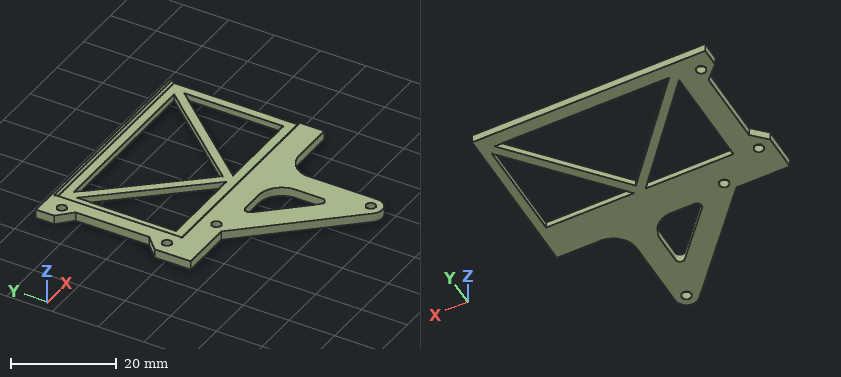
import cadquery as cq
import math

plate_length = 50.0
plate_width = 33.9
thickness = 2.0
hole_diameter = 2.0

notch_depth = 3.0
notch_mouth_bottom = 7.9
notch_mouth_top = 29.9
notch_end_height = 2.95

recess_left = 6.0
recess_bottom = 5.35
recess_top = 33.35
recess_depth = 0.5
recess_wall_run = 0.45

frame_margin = 2.0
opening_left = recess_left + frame_margin
opening_right = plate_length - frame_margin
opening_bottom = 7.9
opening_top = 30.95
opening_center = (opening_left + opening_right) / 2
upper_corner_inset = 1.35
upper_apex_height = 1.5
side_corner_drop = 1.45
side_foot_offset = 1.3

arm_reach = 22.6
arm_root_left = 11.45
tip_radius = 2.55
tip_x = 33.0
tip_y = tip_radius - arm_reach
arm_right = tip_x + tip_radius
rib_width = 2 * tip_radius
inside_radius = 5.05
window_corner_radius = 0.95

edge_hole_x = 3.0
hole_centers = [
    (edge_hole_x, 29.95),
    (edge_hole_x, 6.95),
    (13.05, 2.05),
    (tip_x, tip_y),
]


def prism(points):
    """Extrude a closed polygon through the full thickness."""
    return cq.Workplane("XY").polyline(points).close().extrude(thickness)


def make_plate():
    return prism([
        (0, 0),
        (plate_length, 0),
        (plate_length, plate_width),
        (0, plate_width),
        (0, notch_mouth_top),
        (notch_depth, notch_mouth_top - notch_end_height),
        (notch_depth, notch_mouth_bottom + notch_end_height),
        (0, notch_mouth_bottom),
    ])


root_to_tip = math.hypot(tip_x - arm_root_left, tip_y)
slope_angle = math.atan2(tip_y, tip_x - arm_root_left) - math.asin(tip_radius / root_to_tip)
normal_x = -math.sin(slope_angle)
normal_y = math.cos(slope_angle)


def make_arm():
    tangent_point = (tip_x - tip_radius * normal_x, tip_y - tip_radius * normal_y)
    blend = inside_radius * (1 - math.sqrt(0.5))
    return (
        cq.Workplane("XY")
        .moveTo(arm_root_left, 0)
        .lineTo(*tangent_point)
        .threePointArc((tip_x, tip_y - tip_radius), (arm_right, tip_y))
        .lineTo(arm_right, -inside_radius)
        .threePointArc((arm_right + blend, -blend), (arm_right + inside_radius, 0))
        .close()
        .extrude(thickness)
    )


def make_arm_window():
    """Rounded triangle leaving equal ribs along both sides of the arm."""
    right = arm_right - rib_width
    line_x = arm_root_left + rib_width * normal_x
    line_y = rib_width * normal_y
    slope = math.tan(slope_angle)
    top_left = line_x - line_y / slope
    bottom = line_y + (right - line_x) * slope
    window = prism([(top_left, 0), (right, 0), (right, bottom)])
    window = window.edges("|Z").edges(">Y and >X").fillet(inside_radius)
    sharp_corners = window.edges("|Z and (<X or <Y)")
    return sharp_corners.fillet(window_corner_radius)


def make_brace_openings():
    upper = prism([
        (opening_left + upper_corner_inset, opening_top),
        (opening_right - upper_corner_inset, opening_top),
        (opening_center, opening_bottom + upper_apex_height),
    ])
    left = prism([
        (opening_left, opening_bottom),
        (opening_center - side_foot_offset, opening_bottom),
        (opening_left, opening_top - side_corner_drop),
    ])
    right = left.mirror("YZ", (opening_center, 0, 0))
    return upper.union(left).union(right)


def make_recess():
    floor = thickness - recess_depth
    return (
        cq.Workplane("YZ", origin=(recess_left, 0, 0))
        .polyline([
            (recess_bottom, thickness),
            (recess_bottom + recess_wall_run, floor),
            (recess_top - recess_wall_run, floor),
            (recess_top, thickness),
        ])
        .close()
        .extrude(plate_length - recess_left)
    )


holes = cq.Workplane("XY").pushPoints(hole_centers).circle(hole_diameter / 2).extrude(thickness)

result = (
    make_plate()
    .union(make_arm())
    .cut(make_arm_window())
    .cut(make_brace_openings())
    .cut(make_recess())
    .cut(holes)
)